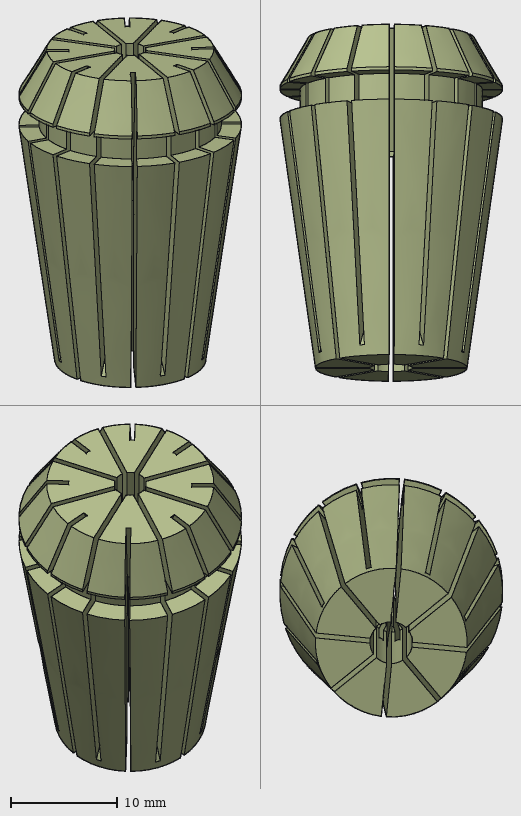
import cadquery as cq
import math

height = 31.5
max_radius = 10.5

body_height = 23.85
body_half_angle = 8.0
body_end_radius = max_radius - body_height * math.tan(math.radians(body_half_angle))
groove_width = 2.8
groove_radius = 8.6
rim_base = body_height + groove_width
rim_land = 0.3
head_half_angle = 30.0
head_cone_height = height - rim_base - rim_land
head_end_radius = max_radius - head_cone_height * math.tan(math.radians(head_half_angle))

grip_radius = 1.5
relief_radius = 2.0
grip_length = 16.0

slot_width = 0.47
slots_per_set = 8
slot_pitch = 360.0 / slots_per_set
cut_reach = max_radius + 1.0

saw_radius = 40.0
floor_outer_height = 1.0
floor_outer_radius = body_end_radius + floor_outer_height * math.tan(math.radians(body_half_angle))
floor_inner_height = 12.55

roof_outer_radius = 5.8
roof_tilt = 21.3
roof_drop = (roof_outer_radius - grip_radius) / math.tan(math.radians(roof_tilt))
roof_inner_height = height - roof_drop


def turned_body():
    """Revolved outside shape: body cone, groove, rim and head cone."""
    outline = (
        cq.Workplane("XZ")
        .moveTo(0, 0)
        .lineTo(body_end_radius, 0)
        .lineTo(max_radius, body_height)
        .lineTo(groove_radius, body_height)
        .lineTo(groove_radius, rim_base)
        .lineTo(max_radius, rim_base)
        .lineTo(max_radius, rim_base + rim_land)
        .lineTo(head_end_radius, height)
        .lineTo(0, height)
        .close()
    )
    return outline.revolve(360, (0, 0, 0), (0, 1, 0))


def stepped_bore():
    """Through bore with a wider relief below the gripping length."""
    grip = cq.Workplane("XY").circle(grip_radius).extrude(height)
    relief = cq.Workplane("XY").circle(relief_radius).extrude(height - grip_length)
    return grip.union(relief)


def deep_slot():
    """Slot from the axis along +X, open at the top, with a concave arc floor."""
    run = floor_outer_radius - grip_radius
    rise = floor_inner_height - floor_outer_height
    chord = math.hypot(run, rise)
    sagitta = saw_radius - math.sqrt(saw_radius**2 - (chord / 2) ** 2)
    floor_middle = (
        (floor_outer_radius + grip_radius) / 2 - sagitta * rise / chord,
        (floor_outer_height + floor_inner_height) / 2 - sagitta * run / chord,
    )
    outline = (
        cq.Workplane("XZ")
        .moveTo(0, height)
        .lineTo(0, floor_inner_height)
        .lineTo(grip_radius, floor_inner_height)
        .threePointArc(floor_middle, (floor_outer_radius, floor_outer_height))
        .lineTo(cut_reach, floor_outer_height)
        .lineTo(cut_reach, height)
        .close()
    )
    return outline.extrude(slot_width / 2, both=True)


def shallow_slot():
    """Slot from the axis along +X, open at the bottom, with a flat leaning roof."""
    outline = (
        cq.Workplane("XZ")
        .moveTo(0, 0)
        .lineTo(0, roof_inner_height)
        .lineTo(grip_radius, roof_inner_height)
        .lineTo(roof_outer_radius, height)
        .lineTo(cut_reach, height)
        .lineTo(cut_reach, 0)
        .close()
    )
    return outline.extrude(slot_width / 2, both=True)


def cut_around(body, cutter, first_angle):
    """Cut one set of evenly spaced slots around the axis."""
    for index in range(slots_per_set):
        angle = first_angle + index * slot_pitch
        body = body.cut(cutter.rotate((0, 0, 0), (0, 0, 1), angle))
    return body


collet = turned_body().cut(stepped_bore())
collet = cut_around(collet, deep_slot(), 0)
result = cut_around(collet, shallow_slot(), slot_pitch / 2)